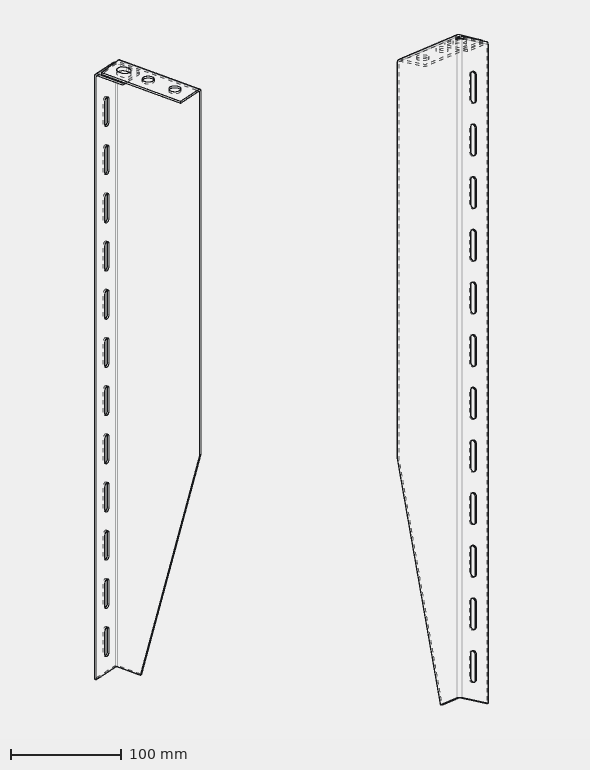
import cadquery as cq
import math

depth = 96.0
width = 32.48
height = 631.0

sheet = 2.0
bend_inner = 1.5
bend_outer = sheet + bend_inner

flange_underside = height - sheet
bend_top = flange_underside - bend_outer
fold_overlap = 2.0
lap_bottom = bend_top - fold_overlap

web_foot = 29.0
taper_height = 251.0

flange_setback = 1.5
flange_start_back = 5.0
flange_start_front = 7.0

tab_end = 32.0
tab_back_gap = 5.5
tab_back = width - tab_back_gap
tab_corner = 3.0

hole_diameter = 11.0
hole_row_y = width - 15.5
hole_positions = (48.0, 78.0)
slot_hole_x = 20.5
slot_hole_length = 13.5

slot_count = 12
slot_pitch = 50.0
slot_width = 6.0
upright = 90.0
slot_length = 30.0
slot_row_y = width / 2
lowest_slot_z = 32.0


def folded_sheet(plane, corner, first_end, second_end, extent):
    """Sheet folded through 90 degrees: legs along the two plane axes, extruded by extent.

    corner is where the outer faces of the legs would meet; the legs end at the
    given coordinates along the first and second plane axes.
    """
    u0, v0 = corner
    u_dir = 1 if first_end > u0 else -1
    v_dir = 1 if second_end > v0 else -1
    outer_offset = bend_outer * math.sqrt(0.5)
    inner_offset = bend_inner * math.sqrt(0.5)
    u_center = u0 + u_dir * bend_outer
    v_center = v0 + v_dir * bend_outer
    outer_mid = (u_center - u_dir * outer_offset, v_center - v_dir * outer_offset)
    inner_mid = (u_center - u_dir * inner_offset, v_center - v_dir * inner_offset)
    return (
        cq.Workplane(plane)
        .moveTo(first_end, v0)
        .lineTo(u_center, v0)
        .threePointArc(outer_mid, (u0, v_center))
        .lineTo(u0, second_end)
        .lineTo(u0 + u_dir * sheet, second_end)
        .lineTo(u0 + u_dir * sheet, v_center)
        .threePointArc(inner_mid, (u_center, v0 + v_dir * sheet))
        .lineTo(first_end, v0 + v_dir * sheet)
        .close()
        .extrude(extent)
    )


def make_web_and_side_flange():
    """Web at the back and side flange, joined by the long upright bend."""
    body = folded_sheet("XY", (0, width), depth, 0, bend_top)
    taper = (
        cq.Workplane("XZ")
        .polyline([(web_foot, 0), (depth, taper_height), (depth, 0)])
        .close()
        .extrude(-width)
    )
    return body.cut(taper)


def make_top_flange():
    """Top flange with its bend down to the web and a slanted near end."""
    flange = folded_sheet("YZ", (width, height), flange_setback, lap_bottom, depth)
    trim_outline = [(0, 0), (flange_start_front, 0), (flange_start_back, width), (0, width)]
    end_trim = (
        cq.Workplane("XY")
        .workplane(offset=lap_bottom)
        .polyline(trim_outline)
        .close()
        .extrude(height - lap_bottom)
    )
    return flange.cut(end_trim)


def make_tab():
    """Tab with its bend down to the side flange and a rounded far back corner."""
    tab = folded_sheet("XZ", (0, flange_underside), tab_end, lap_bottom, -tab_back)
    return tab.edges("|Z and >X and >Y").fillet(tab_corner)


def make_top_holes():
    """Two round holes and one slotted hole down through the flange and tab."""
    top = cq.Workplane("XY").workplane(offset=height)
    drill_depth = -2 * sheet
    round_holes = (
        top.pushPoints([(x, hole_row_y) for x in hole_positions])
        .circle(hole_diameter / 2)
        .extrude(drill_depth)
    )
    slotted_hole = (
        top.center(slot_hole_x, hole_row_y)
        .slot2D(slot_hole_length, hole_diameter)
        .extrude(drill_depth)
    )
    return round_holes.union(slotted_hole)


def make_side_slots():
    """Row of upright slots through the side flange."""
    centers = [(slot_row_y, lowest_slot_z + i * slot_pitch) for i in range(slot_count)]
    return (
        cq.Workplane("YZ")
        .pushPoints(centers)
        .slot2D(slot_length, slot_width, upright)
        .extrude(sheet)
    )


result = (
    make_web_and_side_flange()
    .union(make_top_flange())
    .union(make_tab())
    .cut(make_top_holes())
    .cut(make_side_slots())
)